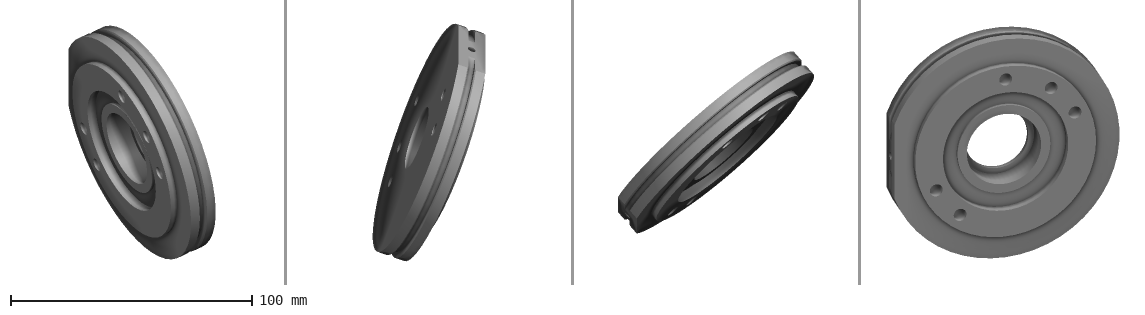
import cadquery as cq
import math

disc_radius = 50.0
disc_thickness = 12.0
flat_distance = 47.0
boss_radius = 39.0
boss_height = 3.0
total_thickness = disc_thickness + boss_height

groove_width = 2.8
groove_floor_radius = 47.5
groove_chamfer = 0.5

recess_radius = 27.0
recess_depth = 4.0
hub_radius = 20.0
hub_height = 1.5

bore_radius = 16.0
lip_radius = 13.5
lip_thickness = 2.0

bolt_diameter = 5.5
bolt_circle_radius = 33.0
bolt_angles = [25.0, 53.5, 90.0, 205.0, 233.5]

side_hole_diameter = 3.5
side_hole_depth = 10.0
drill_tip_angle = 118.0


def cylinder(radius, y_back, length):
    """Cylinder on the part axis, reaching from depth y_back toward the front (-Y)."""
    return cq.Workplane("XZ", origin=(0, -y_back, 0)).circle(radius).extrude(length)


def make_body():
    disc = cylinder(disc_radius, 0, disc_thickness)
    flat_cutter = cq.Workplane("XY").box(
        disc_radius, 2 * disc_thickness, 2 * disc_radius
    ).translate((-flat_distance - disc_radius / 2, -disc_thickness / 2, 0))
    boss = cylinder(boss_radius, disc_thickness, boss_height)
    return disc.cut(flat_cutter).union(boss)


def make_rim_groove():
    """Ring with chamfered lips, revolved about the part axis."""
    middle = -disc_thickness / 2
    half_width = groove_width / 2
    half_mouth = half_width + groove_chamfer
    chamfer_start = disc_radius - groove_chamfer
    return (
        cq.Workplane("XY")
        .moveTo(groove_floor_radius, middle - half_width)
        .lineTo(chamfer_start, middle - half_width)
        .lineTo(disc_radius, middle - half_mouth)
        .lineTo(disc_radius, middle + half_mouth)
        .lineTo(chamfer_start, middle + half_width)
        .lineTo(groove_floor_radius, middle + half_width)
        .close()
        .revolve(360, (0, 0, 0), (0, 1, 0))
    )


def make_recess():
    floor = total_thickness - recess_depth
    hub = cylinder(hub_radius, floor, hub_height)
    return cylinder(recess_radius, floor, recess_depth).cut(hub)


def make_bore():
    lip_opening = cylinder(lip_radius, 0, total_thickness)
    main_bore = cylinder(bore_radius, lip_thickness, total_thickness - lip_thickness)
    return lip_opening.union(main_bore)


def make_bolt_holes():
    centres = []
    for angle in bolt_angles:
        turn = math.radians(angle)
        centres.append((bolt_circle_radius * math.cos(turn), bolt_circle_radius * math.sin(turn)))
    return cq.Workplane("XZ").pushPoints(centres).circle(bolt_diameter / 2).extrude(total_thickness)


def make_side_hole():
    """Drilled hole along X with a conical bottom."""
    radius = side_hole_diameter / 2
    middle = -disc_thickness / 2
    shoulder = -flat_distance + side_hole_depth
    tip = shoulder + radius / math.tan(math.radians(drill_tip_angle / 2))
    return (
        cq.Workplane("XY", origin=(0, middle, 0))
        .moveTo(-flat_distance, 0)
        .lineTo(-flat_distance, radius)
        .lineTo(shoulder, radius)
        .lineTo(tip, 0)
        .close()
        .revolve(360, (0, 0, 0), (1, 0, 0))
    )


result = (
    make_body()
    .cut(make_rim_groove())
    .cut(make_recess())
    .cut(make_bore())
    .cut(make_bolt_holes())
    .cut(make_side_hole())
)